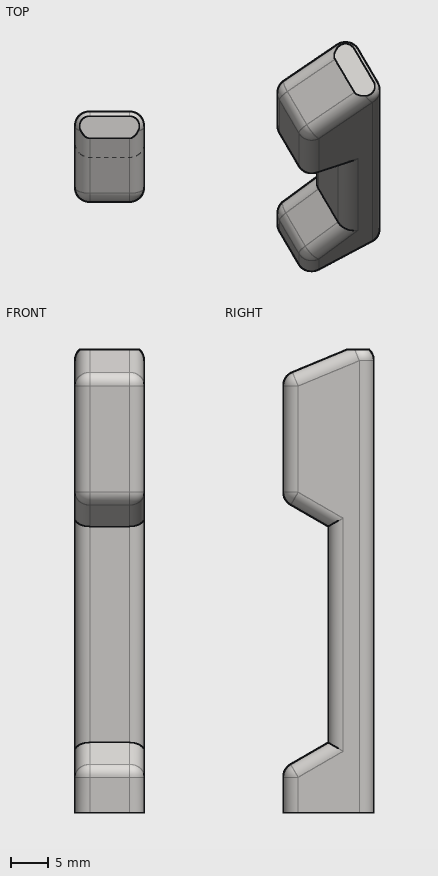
import cadquery as cq
import math

WIDTH = 9.4
DEPTH = 12.25
HEIGHT = 62.6

WAIST_DEPTH = 6.2
HEAD_FRONT_TOP = 59.0
HEAD_FRONT_BOTTOM = 42.2
FOOT_FRONT_TOP = 6.0
HEAD_SLOPE = 22.5
WAIST_SLOPE = 30.0
EDGE_RADIUS = 2.0

BACK_Y = DEPTH / 2
FRONT_Y = -DEPTH / 2
WAIST_Y = BACK_Y - WAIST_DEPTH


def sharp_body():
    """Side outline extruded across the width; its back top corner stands above HEIGHT."""
    ramp_height = (DEPTH - WAIST_DEPTH) * math.tan(math.radians(WAIST_SLOPE))
    peak = HEAD_FRONT_TOP + DEPTH * math.tan(math.radians(HEAD_SLOPE))
    outline = [
        (BACK_Y, 0),
        (BACK_Y, peak),
        (FRONT_Y, HEAD_FRONT_TOP),
        (FRONT_Y, HEAD_FRONT_BOTTOM),
        (WAIST_Y, HEAD_FRONT_BOTTOM - ramp_height),
        (WAIST_Y, FOOT_FRONT_TOP + ramp_height),
        (FRONT_Y, FOOT_FRONT_TOP),
        (FRONT_Y, 0),
    ]
    return cq.Workplane("YZ").polyline(outline).close().extrude(WIDTH / 2, both=True)


def round_edges(body):
    """Round every edge except the flat base and the two inner corners of the waist."""
    waist_zone = cq.selectors.BoxSelector(
        (-WIDTH, WAIST_Y - EDGE_RADIUS, FOOT_FRONT_TOP + EDGE_RADIUS),
        (WIDTH, WAIST_Y + EDGE_RADIUS, HEAD_FRONT_BOTTOM - EDGE_RADIUS),
    )
    across = cq.selectors.ParallelDirSelector(cq.Vector(1, 0, 0))
    inner_corners = cq.selectors.AndSelector(waist_zone, across)
    base = cq.selectors.DirectionMinMaxSelector(cq.Vector(0, 0, 1), False)
    kept_sharp = cq.selectors.SumSelector(base, inner_corners)
    return body.edges(cq.selectors.InverseSelector(kept_sharp)).fillet(EDGE_RADIUS)


def flatten_top(body):
    """Trim the rounded peak to the flat top at HEIGHT."""
    envelope = cq.Workplane("XY").box(WIDTH, DEPTH, HEIGHT, centered=(True, True, False))
    return body.intersect(envelope)


result = flatten_top(round_edges(sharp_body()))